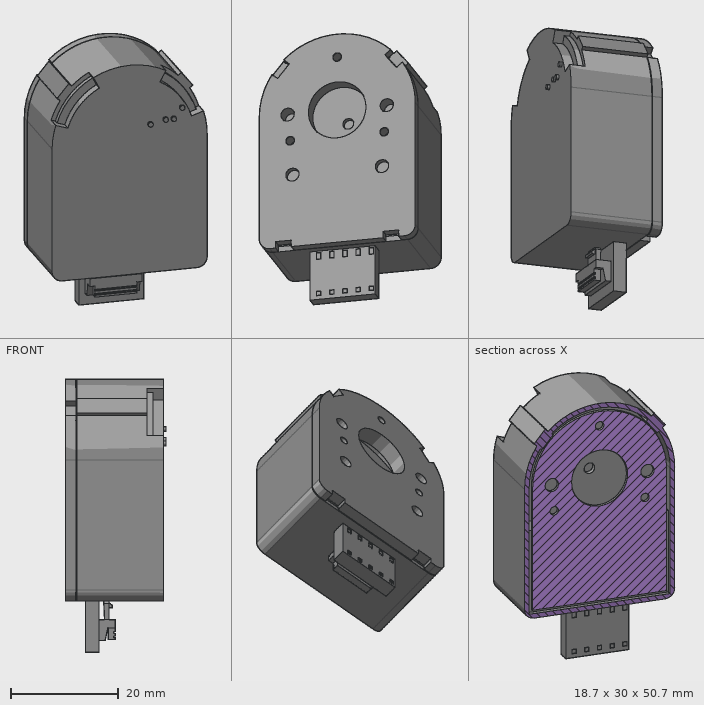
import cadquery as cq
import math


arch_radius = 15.0
floor_z = -26.15
corner_radius = 2.05

flange_thickness = 2.0
spigot_end_x = 3.1
spigot_inset = 1.6
bore_radius = 5.5
mount_hole_diameter = 1.55
mount_hole_chamfer = 0.05
mount_circle_radius = 10.45
mount_hole_angles = (90, 210, 330)
locating_hole_diameter = 2.55
upper_hole_y = 9.55
lower_hole_y = 8.6
lower_hole_z = -11.95
lower_hole_depth = 1.2
foot_notch_y = 10.35
foot_notch_width = 3.0
foot_notch_height = 1.25

latch_angle = 40
latch_width = 3.5
latch_inner_radius = 13.5
latch_outer_radius = 15.65

housing_start_x = 2.15
housing_end_x = 18.25
housing_wall = 1.0
mouth_depth = 1.2
cavity_end_x = 7.75
cavity_floor_z = -8.8
dimple_diameter = 2.1
dimple_depth = 1.0

pocket_half_angle = 22.2
pocket_start_x = 15.15
pocket_step_x = 16.25
pocket_outer_radius = 14.15
pocket_inner_radius = 12.55

peg_diameter = 0.95
peg_height = 0.45
peg_positions = ((3.95, 3.05), (6.9, 3.7), (8.45, 3.7), (10.1, 5.75))

connector_bottom_z = -35.7
block_start_x = 3.7
block_end_x = 6.3
block_width = 12.55
contact_count = 5
contact_pitch = 2.55
contact_centre_y = -0.45
window_width = 0.8
window_depth = 0.2
upper_window_z = -27.05
upper_window_height = 1.25
lower_window_z = -34.45
lower_window_height = 0.8

bracket_top_z = -29.6
bracket_step_z = -31.1
bracket_bottom_z = -33.5
bracket_end_x = 9.25
bracket_width = 10.15
leg_top_x = 7.9
leg_bottom_x = 7.4
grip_start_x = 7.95
grip_bottom_z = -33.3
grip_width = 8.1
groove_depth = 0.25
groove_height = 0.3
groove_positions_z = (-32.0, -32.8)
arm_width = 4.05
arm_start_x = 7.1
arm_foot_x = 7.25
arm_end_x = 8.1
arm_tip_chamfer = 0.45
barb_width = 3.05
barb_tip_x = 8.7
barb_root_x = 7.95
barb_top_z = -26.35
barb_shoulder_z = -26.9
barb_bottom_z = -27.4


def arched_prism(start_x, end_x, inset=0.0, bottom_z=None):
    """Arch on straight sides, shrunk by inset, between two X positions."""
    radius = arch_radius - inset
    bottom = floor_z + inset if bottom_z is None else bottom_z
    return (
        cq.Workplane("YZ", origin=(start_x, 0, 0))
        .moveTo(-radius, bottom)
        .lineTo(radius, bottom)
        .lineTo(radius, 0)
        .threePointArc((0, radius), (-radius, 0))
        .close()
        .extrude(end_x - start_x)
    )


def rounded_body(start_x, end_x):
    """Full-size arched prism with rounded bottom corners."""
    bottom_corners = cq.selectors.BoxSelector(
        (start_x - 0.5, -arch_radius - 0.5, floor_z - 0.5),
        (end_x + 0.5, arch_radius + 0.5, floor_z + 0.5),
    )
    return arched_prism(start_x, end_x).edges("|X").edges(bottom_corners).fillet(corner_radius)


def latch_blocks(start_x, end_x):
    """A tangential bar on each shoulder of the arch."""
    mid_radius = (latch_inner_radius + latch_outer_radius) / 2
    bar = cq.Workplane("XY").box(
        end_x - start_x, latch_outer_radius - latch_inner_radius, latch_width
    ).translate(((start_x + end_x) / 2, mid_radius, 0))
    bars = cq.Workplane("XY")
    for angle in (latch_angle, 180 - latch_angle):
        bars = bars.add(bar.rotate((0, 0, 0), (1, 0, 0), angle))
    return bars.combine()


def cylinders(points, diameter, start_x, end_x):
    """Round rods along X at the given (y, z) points."""
    return (
        cq.Workplane("YZ", origin=(start_x, 0, 0))
        .pushPoints(points)
        .circle(diameter / 2)
        .extrude(end_x - start_x)
    )


def make_base():
    spigot = arched_prism(flange_thickness, spigot_end_x, spigot_inset)
    base = rounded_body(0, flange_thickness).union(spigot)

    bore = cylinders([(0, 0)], 2 * bore_radius, 0, spigot_end_x)
    upper_points = [(side * upper_hole_y, 0) for side in (-1, 1)]
    lower_points = [(side * lower_hole_y, lower_hole_z) for side in (-1, 1)]
    upper_holes = cylinders(upper_points, locating_hole_diameter, 0, spigot_end_x)
    lower_holes = cylinders(lower_points, locating_hole_diameter, 0, lower_hole_depth)
    base = base.cut(bore).cut(upper_holes).cut(lower_holes)

    mount_points = [
        (
            mount_circle_radius * math.cos(math.radians(angle)),
            mount_circle_radius * math.sin(math.radians(angle)),
        )
        for angle in mount_hole_angles
    ]
    mount_holes = cylinders(mount_points, mount_hole_diameter, 0, spigot_end_x)
    countersinks = (
        cq.Workplane("YZ")
        .pushPoints(mount_points)
        .circle(mount_hole_diameter / 2 + mount_hole_chamfer)
        .extrude(mount_hole_chamfer, taper=45)
    )
    base = base.cut(mount_holes).cut(countersinks)

    foot_notches = (
        cq.Workplane("YZ")
        .pushPoints([(side * foot_notch_y, floor_z) for side in (-1, 1)])
        .rect(foot_notch_width, 2 * foot_notch_height)
        .extrude(flange_thickness)
    )
    return base.cut(foot_notches).cut(latch_blocks(0, flange_thickness))


def pocket_sector(angle, inner_radius, start_x):
    """Ring sector outside inner_radius, from start_x to the far face."""
    outer_radius = 2 * arch_radius
    spread = (angle - pocket_half_angle, angle, angle + pocket_half_angle)

    def at(radius, degrees):
        return (radius * math.cos(math.radians(degrees)), radius * math.sin(math.radians(degrees)))

    return (
        cq.Workplane("YZ", origin=(start_x, 0, 0))
        .moveTo(*at(inner_radius, spread[0]))
        .lineTo(*at(outer_radius, spread[0]))
        .threePointArc(at(outer_radius, spread[1]), at(outer_radius, spread[2]))
        .lineTo(*at(inner_radius, spread[2]))
        .threePointArc(at(inner_radius, spread[1]), at(inner_radius, spread[0]))
        .close()
        .extrude(housing_end_x - start_x)
    )


def make_housing():
    mouth = arched_prism(housing_start_x, housing_start_x + mouth_depth, housing_wall)
    cavity = arched_prism(housing_start_x, cavity_end_x, housing_wall, cavity_floor_z)
    dimple = cylinders([(0, 0)], dimple_diameter, cavity_end_x, cavity_end_x + dimple_depth)
    housing = rounded_body(housing_start_x, housing_end_x).cut(mouth).cut(cavity).cut(dimple)
    housing = housing.union(latch_blocks(housing_start_x, pocket_start_x))

    for angle in (latch_angle, 180 - latch_angle):
        housing = housing.cut(pocket_sector(angle, pocket_outer_radius, pocket_start_x))
        housing = housing.cut(pocket_sector(angle, pocket_inner_radius, pocket_step_x))

    pegs = cylinders(peg_positions, peg_diameter, housing_end_x, housing_end_x + peg_height)
    return housing.union(pegs)


def side_profile(points, width):
    """Extrude an (x, z) outline symmetrically about y = 0."""
    return cq.Workplane("XZ").polyline(points).close().extrude(width / 2, both=True)


def contact_windows(centre_z, height):
    """Row of shallow rectangular recesses in the front of the connector block."""
    first_y = contact_centre_y - contact_pitch * (contact_count - 1) / 2
    points = [(first_y + i * contact_pitch, centre_z) for i in range(contact_count)]
    return (
        cq.Workplane("YZ", origin=(block_start_x, 0, 0))
        .pushPoints(points)
        .rect(window_width, height)
        .extrude(window_depth)
    )


def make_grip():
    grip = side_profile(
        [
            (grip_start_x, bracket_step_z),
            (bracket_end_x, bracket_step_z),
            (bracket_end_x, grip_bottom_z),
            (grip_start_x, grip_bottom_z),
        ],
        grip_width,
    )
    for groove_z in groove_positions_z:
        groove = cq.Workplane("XY").box(2 * groove_depth, grip_width, groove_height)
        grip = grip.cut(groove.translate((bracket_end_x, 0, groove_z)))
    return grip


def make_latch_arm():
    arm = side_profile(
        [
            (arm_start_x, floor_z),
            (arm_end_x, floor_z),
            (arm_end_x, bracket_top_z),
            (arm_foot_x, bracket_top_z),
        ],
        arm_width,
    )
    arm = arm.faces(">Z").edges("|X").chamfer(arm_tip_chamfer)
    barb = side_profile(
        [
            (barb_root_x, barb_top_z),
            (barb_tip_x, barb_shoulder_z),
            (barb_tip_x, barb_bottom_z),
            (barb_root_x, barb_bottom_z),
        ],
        barb_width,
    )
    return arm.union(barb)


def make_connector():
    block = side_profile(
        [
            (block_start_x, floor_z),
            (block_end_x, floor_z),
            (block_end_x, connector_bottom_z),
            (block_start_x, connector_bottom_z),
        ],
        block_width,
    )
    block = block.cut(contact_windows(upper_window_z, upper_window_height))
    block = block.cut(contact_windows(lower_window_z, lower_window_height))
    bracket = side_profile(
        [
            (block_end_x, bracket_top_z),
            (bracket_end_x, bracket_top_z),
            (bracket_end_x, bracket_step_z),
            (leg_top_x, bracket_step_z),
            (leg_bottom_x, bracket_bottom_z),
            (block_end_x, bracket_bottom_z),
        ],
        bracket_width,
    )
    return block.union(bracket).union(make_grip()).union(make_latch_arm())


base = make_base()
housing = make_housing()
connector = make_connector()

result = cq.Compound.makeCompound([base.val(), housing.val(), connector.val()])